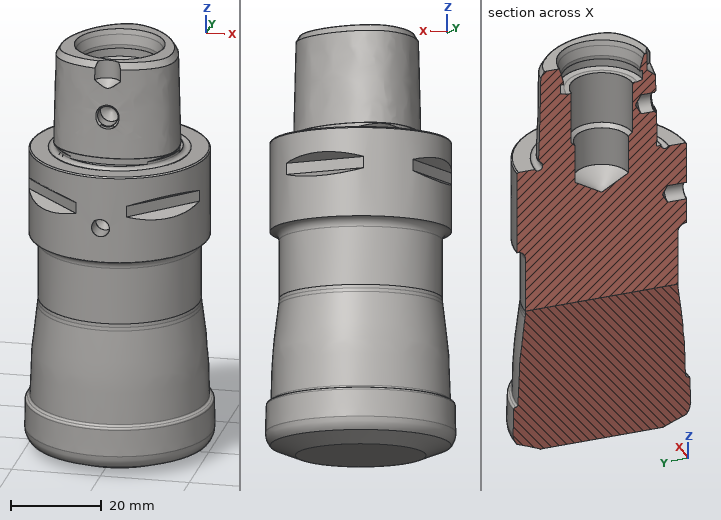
import cadquery as cq
import math

shank_height = 24.0
drill_tip_half_angle = 60.0

gauge_diameter = 28.0
gauge_height = 2.5
taper_ratio = 1 / 20
lobe_eccentricity = 0.9
shank_base = 1.9
mouth_chamfer_height = 1.45
mouth_chamfer_width = 0.85
outline_points = 72

neck_radius = 14.0
neck_inset = 0.15
ledge_height = 0.45
groove_outer_radius = 15.75

flange_radius = 20.0
flange_length = 20.0
flange_chamfer = 0.3
body_radius = 18.0
body_cove_radius = flange_radius - body_radius
body_end = -35.0

bore_mouth_radius = 10.0
bore_entry_radius = 9.6
bore_seat_radius = 18.02 / 2
bore_groove_radius = 9.6
bore_floor_radius = 8.3
clearance_radius = 7.15
core_radius = 12.5 / 2
bore_entry_top = shank_height - 1.15
bore_seat_top = shank_height - 3.35
bore_groove_top = shank_height - 4.2
bore_groove_bottom = shank_height - 6.3
bore_floor = shank_height - 6.65
clearance_bottom = 5.0
core_bottom = -5.0

keyway_radius = 3.3
keyway_centre_y = -13.97
keyway_tip_half_angle = 50.0
keyway_depth = 4.14

shank_hole_diameter = 4.6
shank_hole_height = 11.5
shank_hole_bottom_y = -9.3
countersink_diameter = 5.6
coding_hole_diameter = 4.0
coding_hole_height = -12.0
coding_hole_bottom_y = -15.5

slot_count = 4
slot_first_angle = 45.0
slot_height = -8.0
slot_floor_distance = 17.6
slot_floor_width = 2.5
slot_side_angle = 30.0
slot_clearance = 1.0

sleeve_bottom = -70.0
lead_in_height = 0.8
lead_in_radius = 18.04
flare_top_radius = 18.14
flare_bottom_radius = 19.78
bead_top = -57.9
bead_shoulder = -58.9
bead_shoulder_radius = 20.82
bead_radius = 41.97 / 2
bead_widest = -65.0
nose_rim = -67.8
nose_rim_radius = 39.83 / 2
end_face_radius = 14.4


def polygon_mean_radius(height):
    """Mean radius of the tapered polygon at a given height."""
    return (gauge_diameter - (height - gauge_height) * taper_ratio) / 2


def polygon_wire(mean_radius, height):
    """Three-lobed curve of constant width, from its support function."""
    points = []
    for i in range(outline_points):
        angle = 2 * math.pi * i / outline_points
        lobe_angle = 3 * (angle - math.pi / 2)
        reach = mean_radius + lobe_eccentricity * math.cos(lobe_angle)
        slope = -3 * lobe_eccentricity * math.sin(lobe_angle)
        x = reach * math.cos(angle) - slope * math.sin(angle)
        y = reach * math.sin(angle) + slope * math.cos(angle)
        points.append(cq.Vector(x, y, height))
    return cq.Wire.assembleEdges([cq.Edge.makeSpline(points, periodic=True)])


def polygon_frustum(low_radius, low_height, high_radius, high_height):
    """Solid between two polygon outlines."""
    wires = [polygon_wire(low_radius, low_height), polygon_wire(high_radius, high_height)]
    return cq.Workplane(cq.Solid.makeLoft(wires, True))


def revolve_profile(profile):
    """Turn a closed radius-height profile about the Z axis."""
    return profile.close().revolve(360, (0, 0, 0), (0, 1, 0))


def tip_length(radius, half_angle=drill_tip_half_angle):
    """Length of the conical bottom of a drilled hole."""
    return radius / math.tan(math.radians(half_angle))


def make_shank():
    """Tapered polygon with a chamfered mouth and a narrower neck below."""
    chamfer_base = shank_height - mouth_chamfer_height
    base_radius = polygon_mean_radius(shank_base)
    chamfer_radius = polygon_mean_radius(chamfer_base)
    top_radius = polygon_mean_radius(shank_height) - mouth_chamfer_width
    taper = polygon_frustum(base_radius, shank_base, chamfer_radius, chamfer_base)
    chamfer = polygon_frustum(chamfer_radius, chamfer_base, top_radius, shank_height)

    neck_polygon_radius = base_radius - neck_inset
    neck = polygon_frustum(neck_polygon_radius, 0, neck_polygon_radius, shank_base)
    lobe_radius = base_radius + lobe_eccentricity
    cone_start = shank_base - (lobe_radius - neck_radius)
    turned = revolve_profile(
        cq.Workplane("XZ")
        .lineTo(neck_radius, 0)
        .lineTo(neck_radius, cone_start)
        .lineTo(lobe_radius, shank_base)
        .lineTo(0, shank_base)
    )
    return neck.intersect(turned).union(taper).union(chamfer)


def make_turned_body():
    """Flange with the round groove around the neck, cove and cylindrical body."""
    groove_width = groove_outer_radius - neck_radius
    groove_radius = (groove_width**2 + ledge_height**2) / (2 * groove_width)
    groove_low_point = (neck_radius + groove_radius, ledge_height - groove_radius)
    cove_reach = body_cove_radius * math.sqrt(0.5)
    cove_middle = (
        body_radius + body_cove_radius - cove_reach,
        -flange_length - body_cove_radius + cove_reach,
    )
    return revolve_profile(
        cq.Workplane("XZ")
        .moveTo(0, ledge_height)
        .lineTo(neck_radius, ledge_height)
        .threePointArc(groove_low_point, (groove_outer_radius, 0))
        .lineTo(flange_radius - flange_chamfer, 0)
        .lineTo(flange_radius, -flange_chamfer)
        .lineTo(flange_radius, -flange_length)
        .threePointArc(cove_middle, (body_radius, -flange_length - body_cove_radius))
        .lineTo(body_radius, body_end)
        .lineTo(0, body_end)
    )


def make_bore():
    """Blind bore with a conical entry, a seat over a round groove, and a drill tip."""
    return revolve_profile(
        cq.Workplane("XZ")
        .moveTo(0, shank_height)
        .lineTo(bore_mouth_radius, shank_height)
        .lineTo(bore_entry_radius, bore_entry_top)
        .lineTo(bore_seat_radius, bore_seat_top)
        .lineTo(bore_seat_radius, bore_groove_top)
        .lineTo(bore_groove_radius, bore_groove_top)
        .lineTo(bore_groove_radius, bore_groove_bottom)
        .lineTo(bore_floor_radius, bore_floor)
        .lineTo(clearance_radius, bore_floor)
        .lineTo(clearance_radius, clearance_bottom)
        .lineTo(core_radius, clearance_bottom - (clearance_radius - core_radius))
        .lineTo(core_radius, core_bottom)
        .lineTo(0, core_bottom - tip_length(core_radius))
    )


def make_keyway():
    """Vertical drilled notch open to the shank mouth."""
    rim = shank_height - keyway_depth
    drill = revolve_profile(
        cq.Workplane("XZ")
        .moveTo(0, shank_height)
        .lineTo(keyway_radius, shank_height)
        .lineTo(keyway_radius, rim)
        .lineTo(0, rim - tip_length(keyway_radius, keyway_tip_half_angle))
    )
    return drill.translate((0, keyway_centre_y, 0))


def make_radial_hole(diameter, height, bottom_y):
    """Blind hole drilled from the -Y side toward the axis."""
    radius = diameter / 2
    drill = (
        cq.Workplane("XY")
        .moveTo(0, -flange_radius)
        .lineTo(radius, -flange_radius)
        .lineTo(radius, bottom_y)
        .lineTo(0, bottom_y + tip_length(radius))
        .close()
        .revolve(360, (0, 0, 0), (0, 1, 0))
    )
    return drill.translate((0, 0, height))


def make_countersink():
    """45-degree cone at the mouth of the shank hole."""
    surface_y = lobe_eccentricity - polygon_mean_radius(shank_hole_height)
    mouth_radius = countersink_diameter / 2
    cone = cq.Solid.makeCone(
        mouth_radius, 0, mouth_radius, cq.Vector(0, surface_y, shank_hole_height), cq.Vector(0, 1, 0)
    )
    return cq.Workplane(cone)


def make_gripper_slot(angle):
    """Trapezoidal slot cut straight across the flange side."""
    opening = flange_radius + slot_clearance - slot_floor_distance
    half_floor = slot_floor_width / 2
    half_mouth = half_floor + opening * math.tan(math.radians(slot_side_angle))
    slot = (
        cq.Workplane("XZ")
        .polyline([
            (slot_floor_distance, slot_height - half_floor),
            (slot_floor_distance, slot_height + half_floor),
            (slot_floor_distance + opening, slot_height + half_mouth),
            (slot_floor_distance + opening, slot_height - half_mouth),
        ])
        .close()
        .extrude(flange_radius, both=True)
    )
    return slot.rotate((0, 0, 0), (0, 0, 1), angle)


def make_holder():
    """Polygon shank, flange and body with all of their cuts."""
    holder = make_turned_body().union(make_shank())
    holder = holder.cut(make_bore()).cut(make_keyway())
    holder = holder.cut(make_radial_hole(shank_hole_diameter, shank_hole_height, shank_hole_bottom_y))
    holder = holder.cut(make_countersink())
    holder = holder.cut(make_radial_hole(coding_hole_diameter, coding_hole_height, coding_hole_bottom_y))
    for i in range(slot_count):
        holder = holder.cut(make_gripper_slot(slot_first_angle + i * 360 / slot_count))
    return holder


def tangent_arc_middle(start, end):
    """Middle point of an arc that is parallel to the Z axis at its start."""
    height = end[1] - start[1]
    shrink = start[0] - end[0]
    arc_radius = (height**2 + shrink**2) / (2 * shrink)
    half_turn = math.asin(height / arc_radius) / 2
    return (
        start[0] - arc_radius * (1 - math.cos(half_turn)),
        start[1] + arc_radius * math.sin(half_turn),
    )


def make_sleeve():
    """Flared sleeve with a rounded bead and a conical nose."""
    lead_in_end = body_end - lead_in_height
    flare_start = (flare_top_radius, lead_in_end - lead_in_height)
    flare_end = (flare_bottom_radius, bead_top)
    shoulder = (bead_shoulder_radius, bead_shoulder)
    blend = ((flare_bottom_radius + bead_shoulder_radius) / 2, (bead_top + bead_shoulder) / 2)
    widest = (bead_radius, bead_widest)
    rim = (nose_rim_radius, nose_rim)
    return revolve_profile(
        cq.Workplane("XZ")
        .moveTo(0, body_end)
        .lineTo(body_radius, body_end)
        .lineTo(lead_in_radius, lead_in_end)
        .lineTo(*flare_start)
        .threePointArc(tangent_arc_middle(flare_end, flare_start), flare_end)
        .threePointArc(tangent_arc_middle(flare_end, blend), blend)
        .threePointArc(tangent_arc_middle(shoulder, blend), shoulder)
        .threePointArc(tangent_arc_middle(widest, shoulder), widest)
        .threePointArc(tangent_arc_middle(widest, rim), rim)
        .lineTo(end_face_radius, sleeve_bottom)
        .lineTo(0, sleeve_bottom)
    )


holder = make_holder()
sleeve = make_sleeve()
result = cq.Compound.makeCompound([holder.val(), sleeve.val()])